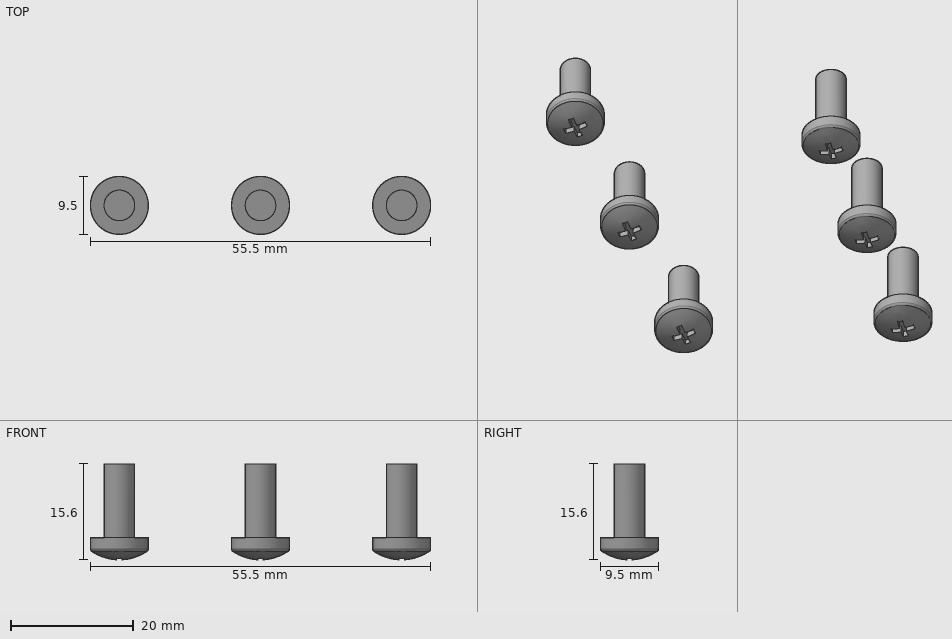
import cadquery as cq
import math

screw_count = 3
overall_length = 55.5

shank_diameter = 5.0
shank_length = 12.0

head_diameter = 9.5
head_height = 3.65
dome_radius = 8.0
rim_fillet = 0.5

recess_span = 3.8
recess_slot_width = 0.9
recess_depth = 1.35

head_radius = head_diameter / 2
screw_pitch = (overall_length - head_diameter) / (screw_count - 1)


def dome_height_at(radius):
    """Height of the dome surface above its lowest point, at a distance from the axis."""
    return dome_radius - math.sqrt(dome_radius**2 - radius**2)


def make_head():
    """Disc with a spherical underside; its flat upper face lies at z = 0."""
    dome_bottom = -head_height
    rim_z = dome_bottom + dome_height_at(head_radius)
    mid_radius = head_radius / 2
    profile = (
        cq.Workplane("XZ")
        .moveTo(0, 0)
        .lineTo(-head_radius, 0)
        .lineTo(-head_radius, rim_z)
        .threePointArc((-mid_radius, dome_bottom + dome_height_at(mid_radius)), (0, dome_bottom))
        .close()
    )
    head = profile.revolve(360, (0, 0, 0), (0, 1, 0))
    rim_edge = cq.selectors.NearestToPointSelector((0, 0, rim_z))
    return head.edges("%CIRCLE").edges(rim_edge).fillet(rim_fillet)


def make_cross_recess():
    """Two crossing slots, cut upwards from the lowest point of the dome."""
    start = cq.Workplane("XY").workplane(offset=-head_height)
    slot_along_x = start.rect(recess_span, recess_slot_width).extrude(recess_depth)
    slot_along_y = start.rect(recess_slot_width, recess_span).extrude(recess_depth)
    return slot_along_x.union(slot_along_y)


def make_screw():
    shank = cq.Workplane("XY").circle(shank_diameter / 2).extrude(shank_length)
    return make_head().union(shank).cut(make_cross_recess())


screws = []
for index in range(screw_count):
    x = (index - (screw_count - 1) / 2) * screw_pitch
    screws.append(make_screw().translate((x, 0, 0)).solids().val())

result = cq.Compound.makeCompound(screws)